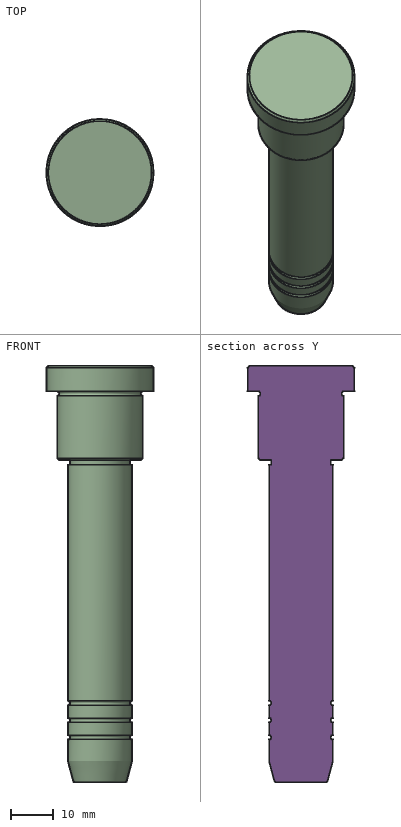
import cadquery as cq
import math

TOTAL_LENGTH = 97.0
HEAD_HEIGHT = 6.0
SHOULDER_LENGTH = 16.0
TIP_LENGTH = 5.0

HEAD_DIAMETER = 25.0
SHOULDER_DIAMETER = 20.0
SHAFT_DIAMETER = 15.0

EDGE_CHAMFER = 0.5
TIP_FILLET = 0.5
TIP_ANGLE = 15.0

RELIEF_WIDTH = 1.0
RELIEF_DEPTH = 0.5

GROOVE_RADIUS = 0.5
GROOVE_COUNT = 3
GROOVE_PITCH = 4.0
FIRST_GROOVE_HEIGHT = 10.5

head_radius = HEAD_DIAMETER / 2
shoulder_radius = SHOULDER_DIAMETER / 2
shaft_radius = SHAFT_DIAMETER / 2
tip_radius = shaft_radius - TIP_LENGTH * math.tan(math.radians(TIP_ANGLE))
head_bottom = TOTAL_LENGTH - HEAD_HEIGHT
shoulder_bottom = head_bottom - SHOULDER_LENGTH


def add_round_groove(outline, radius, middle):
    """Continue the rising outline through a semicircular groove."""
    outline = outline.lineTo(radius, middle - GROOVE_RADIUS)
    return outline.threePointArc((radius - GROOVE_RADIUS, middle), (radius, middle + GROOVE_RADIUS))


def add_tip_and_shaft(outline):
    """Tapered tip, then the shaft with its row of grooves and the relief under the shoulder."""
    outline = outline.lineTo(tip_radius, 0).lineTo(shaft_radius, TIP_LENGTH)
    for index in range(GROOVE_COUNT):
        groove_middle = FIRST_GROOVE_HEIGHT + index * GROOVE_PITCH
        outline = add_round_groove(outline, shaft_radius, groove_middle)
    relief_bottom = shoulder_bottom - RELIEF_WIDTH
    relief_radius = shaft_radius - RELIEF_DEPTH
    return (
        outline.lineTo(shaft_radius, relief_bottom)
        .lineTo(relief_radius, relief_bottom)
        .lineTo(relief_radius, shoulder_bottom)
    )


def add_shoulder(outline):
    """Locating shoulder with a chamfered lower end and a round groove right under the head."""
    outline = (
        outline.lineTo(shoulder_radius - EDGE_CHAMFER, shoulder_bottom)
        .lineTo(shoulder_radius, shoulder_bottom + EDGE_CHAMFER)
    )
    return add_round_groove(outline, shoulder_radius, head_bottom - GROOVE_RADIUS)


def add_head(outline):
    """Flat head with a chamfered top rim."""
    return (
        outline.lineTo(head_radius, head_bottom)
        .lineTo(head_radius, TOTAL_LENGTH - EDGE_CHAMFER)
        .lineTo(head_radius - EDGE_CHAMFER, TOTAL_LENGTH)
        .lineTo(0, TOTAL_LENGTH)
    )


def make_pin():
    """Revolve the half section about the Z axis and round the end of the tip."""
    outline = cq.Workplane("XZ").moveTo(0, 0)
    outline = add_tip_and_shaft(outline)
    outline = add_shoulder(outline)
    outline = add_head(outline)
    pin = outline.close().revolve(360, (0, 0, 0), (0, 1, 0))
    return pin.faces("<Z").edges().fillet(TIP_FILLET)


result = make_pin()